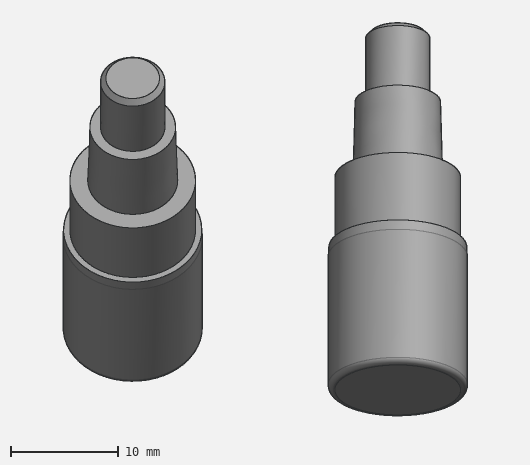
import cadquery as cq

total_height = 36.2
lead_in_start = 13.5
sleeve_top = 14.48
body_top = 21.58
taper_top = 29.2

sleeve_diameter = 13.0
lead_in_diameter = 12.9
body_diameter = 11.73
taper_base_diameter = 8.4
taper_top_diameter = 8.0
tip_diameter = 6.0

base_fillet = 0.5
tip_chamfer = 0.5


def make_sleeve():
    """Thin sleeve with a rounded base edge, a slight lead-in taper on top and a through bore."""
    straight_part = cq.Workplane("XY").circle(sleeve_diameter / 2).extrude(lead_in_start)
    straight_part = straight_part.faces("<Z").edges().fillet(base_fillet)
    lead_in = cq.Workplane("XY").add(
        cq.Solid.makeCone(
            sleeve_diameter / 2,
            lead_in_diameter / 2,
            sleeve_top - lead_in_start,
            pnt=cq.Vector(0, 0, lead_in_start),
        )
    )
    bore = cq.Workplane("XY").circle(body_diameter / 2).extrude(sleeve_top)
    return straight_part.union(lead_in).cut(bore).solids()


def make_pin():
    """Stepped pin: cylindrical body filling the bore, tapered neck and chamfered tip."""
    half_profile = [
        (0, 0),
        (body_diameter / 2, 0),
        (body_diameter / 2, body_top),
        (taper_base_diameter / 2, body_top),
        (taper_top_diameter / 2, taper_top),
        (tip_diameter / 2, taper_top),
        (tip_diameter / 2, total_height - tip_chamfer),
        (tip_diameter / 2 - tip_chamfer, total_height),
        (0, total_height),
    ]
    return cq.Workplane("XZ").polyline(half_profile).close().revolve(360, (0, 0), (0, 1))


sleeve = make_sleeve()
pin = make_pin()
result = cq.Compound.makeCompound([sleeve.val(), pin.val()])